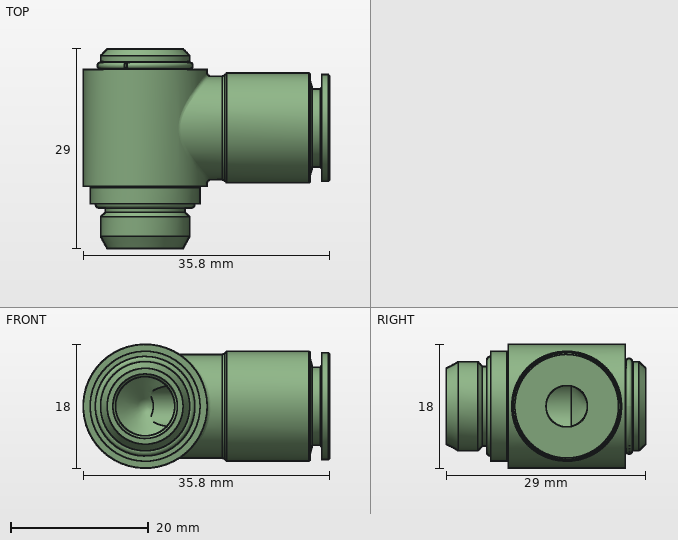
import cadquery as cq

body_radius = 9.005
body_front = -8.5
body_back = 8.52

relief_radius = 7.77
collar_radius = 8.0
collar_back = -8.65
collar_front = -11.03
seal_radius = 7.23
seal_front = -11.65
seal_wire_radius = collar_front - seal_front
stem_radius = 6.48
stem_neck_radius = 5.8
neck_front = -12.25
thread_back = -12.9
thread_front = -15.7
stem_tip_radius = 5.5
stem_tip = -17.5

head_groove_radius = 6.15
head_front = 9.63
head_shoulder = 10.5
head_end = 11.5
ring_wire_radius = 0.45
ring_outer_radius = 6.95
ring_y = 9.05
ring_gap_angle = 114
ring_gap_width = 0.43

arm_radius = 7.52
arm_end = 11.17
arm_blend_radius = 0.5
arm_flare_radius = 7.65
flare_end = 11.53
sleeve_radius = 8.0
sleeve_start = 11.85
sleeve_chamfer_start = 23.77
sleeve_end = 24.0
sleeve_chamfer = 0.2
lip_base_radius = 6.8
lip_end_radius = 5.9
lip_end = 24.25
release_neck_radius = 5.7
neck_flare = 0.2
flange_start = 25.65
flange_radius = 7.77
flange_chamfer = 0.25
arm_tip = 35.8 - body_radius

stem_bore_radius = 4.3
stem_mouth_radius = 4.7
bore_floor = 0.68
bore_apex = 3.9
arm_bore_radius = 3.0


def build_body():
    """Swivel barrel with the plain arm blended into its side."""
    barrel = (
        cq.Workplane("XZ", origin=(0, body_back, 0))
        .circle(body_radius)
        .extrude(body_back - body_front)
    )
    arm = cq.Workplane("YZ").circle(arm_radius).extrude(arm_end)
    junction = cq.selectors.BoxSelector(
        (0.35, -body_radius, -body_radius),
        (arm_end - 0.35, body_radius, body_radius),
        boundingbox=True,
    )
    return barrel.union(arm).edges(junction).fillet(arm_blend_radius)


def build_stem():
    """Turned stem running through the barrel, revolved about Y."""
    return (
        cq.Workplane("XY")
        .moveTo(0, stem_tip)
        .lineTo(stem_tip_radius, stem_tip)
        .lineTo(stem_radius, thread_front)
        .lineTo(stem_radius, thread_back)
        .lineTo(stem_neck_radius, neck_front)
        .lineTo(stem_neck_radius, collar_front)
        .lineTo(seal_radius - 2 * seal_wire_radius, collar_front)
        .threePointArc(
            (seal_radius - seal_wire_radius, seal_front),
            (seal_radius, collar_front),
        )
        .lineTo(collar_radius, collar_front)
        .lineTo(collar_radius, collar_back)
        .lineTo(relief_radius, collar_back)
        .lineTo(relief_radius, body_front)
        .lineTo(head_groove_radius, body_front)
        .lineTo(head_groove_radius, head_front)
        .lineTo(stem_radius, head_front)
        .lineTo(stem_radius, head_shoulder)
        .lineTo(stem_tip_radius, head_end)
        .lineTo(0, head_end)
        .close()
        .revolve(360, (0, 0), (0, 1))
    )


def build_snap_ring():
    """Round-wire ring behind the barrel, split by a narrow gap."""
    ring_radius = ring_outer_radius - ring_wire_radius
    ring = (
        cq.Workplane("XY")
        .center(ring_radius, ring_y)
        .circle(ring_wire_radius)
        .revolve(360, (-ring_radius, 0), (-ring_radius, 1))
    )
    gap = (
        cq.Workplane("XY")
        .box(4 * ring_wire_radius, 4 * ring_wire_radius, ring_gap_width)
        .translate((ring_radius, ring_y, 0))
        .rotate((0, 0, 0), (0, 1, 0), -ring_gap_angle)
    )
    return ring.cut(gap)


def build_sleeve():
    """Push-in sleeve with its release flange, revolved about X."""
    return (
        cq.Workplane("XY")
        .moveTo(arm_end, 0)
        .lineTo(arm_end, arm_radius)
        .lineTo(flare_end, arm_flare_radius)
        .lineTo(sleeve_start, sleeve_radius)
        .lineTo(sleeve_chamfer_start, sleeve_radius)
        .lineTo(sleeve_end, sleeve_radius - sleeve_chamfer)
        .lineTo(sleeve_end, lip_base_radius)
        .lineTo(lip_end, lip_end_radius)
        .lineTo(lip_end, release_neck_radius)
        .lineTo(flange_start - neck_flare, release_neck_radius)
        .lineTo(flange_start, release_neck_radius + neck_flare)
        .lineTo(flange_start, flange_radius)
        .lineTo(arm_tip - flange_chamfer, flange_radius)
        .lineTo(arm_tip, flange_radius - flange_chamfer)
        .lineTo(arm_tip, 0)
        .close()
        .revolve(360, (0, 0), (1, 0))
    )


def build_stem_bore():
    """Blind drilled passage with a flared mouth and a conical floor."""
    mouth_depth = stem_mouth_radius - stem_bore_radius
    return (
        cq.Workplane("XY")
        .moveTo(0, stem_tip)
        .lineTo(stem_mouth_radius, stem_tip)
        .lineTo(stem_bore_radius, stem_tip + mouth_depth)
        .lineTo(stem_bore_radius, bore_floor)
        .lineTo(0, bore_apex)
        .close()
        .revolve(360, (0, 0), (0, 1))
    )


def build_arm_bore():
    """Passage from the stem bore out through the arm."""
    return (
        cq.Workplane("YZ")
        .circle(arm_bore_radius)
        .extrude(arm_tip)
    )


outside = build_body().union(build_stem()).union(build_sleeve()).union(build_snap_ring())
result = outside.cut(build_stem_bore()).cut(build_arm_bore())